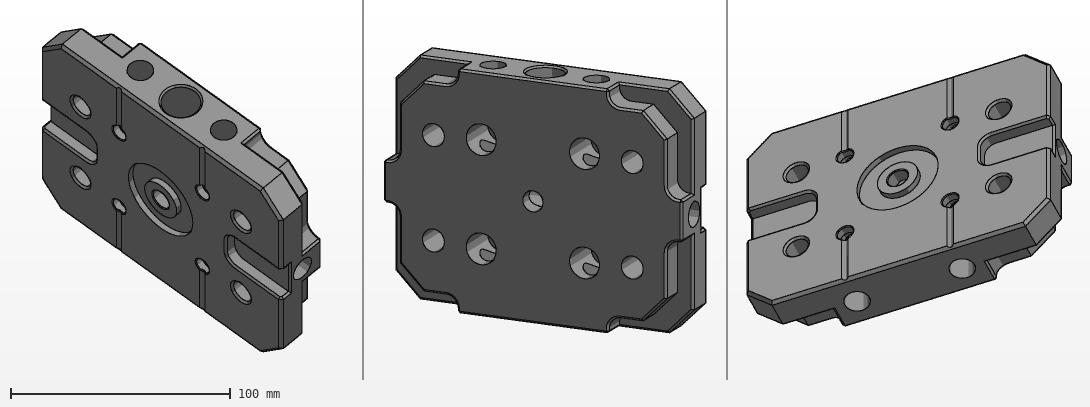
import cadquery as cq
import math

length = 150.0
thickness = 27.0
height = 116.0
corner_cut = 12.5
front_chamfer = 1.5
edge_chamfer = 1.0

half_length = length / 2
half_height = height / 2
front_y = -thickness / 2
back_y = thickness / 2
clearance = 7.5
tolerance = 0.02

pocket_depth = 12.0
vertical_lug_half_width = 38.0
side_lug_half_width = 10.0
core_half_length = 67.0
core_half_height = 50.0
core_corner_cut = 12.0
pocket_radius = 6.0

slot_depth = 6.0
slot_length = 34.5
slot_half_width = 9.9
slot_radius = 6.0

recess_diameter = 40.0
recess_boss_diameter = 20.0
recess_depth = 3.0
centre_hole_diameter = 10.0
small_chamfer = 0.5

mount_hole_diameter = 11.0
mount_hole_x = 50.0
mount_hole_z = 25.0
pin_hole_diameter = 8.0
pin_spacing_half = 26.0
pin_hole_land = 4.0
pin_relief_diameter = 15.0

groove_diameter = 4.2
groove_depth = 0.8

cross_hole_diameter = 12.0
cross_hole_y = 0.8

bore_mouth_diameter = 20.0
bore_diameter = 18.2
bore_depth = 45.0
bore_step_diameter = 16.0
bore_pilot_diameter = 14.0


def cylinder(diameter, reach, start, direction):
    """Solid cylinder from a start point along a direction."""
    solid = cq.Solid.makeCylinder(diameter / 2, reach, cq.Vector(*start), cq.Vector(*direction))
    return cq.Workplane(solid)


def y_cylinder(x, z, diameter, y_start, y_end):
    """Cylinder along Y between two Y positions."""
    return cylinder(diameter, y_end - y_start, (x, y_start, z), (0, 1, 0))


def mirrored_four(x, z):
    """The four places that mirror (x, z) about both centre lines."""
    return [(sx * x, sz * z) for sx in (-1, 1) for sz in (-1, 1)]


def on_outline(point):
    """True when a point lies on the side walls of the plate."""
    x = abs(point.x)
    z = abs(point.z)
    corner_gap = (half_length + half_height - corner_cut - x - z) / math.sqrt(2)
    return min(half_length - x, half_height - z, corner_gap) < tolerance


def make_plate():
    blank = cq.Workplane("XY").box(length, thickness, height)
    return blank.edges("|Y").chamfer(corner_cut).faces("<Y").edges().chamfer(front_chamfer)


def make_corner_pocket():
    """Cutter for the pocket in the +X +Z corner."""
    arc_offset = pocket_radius * (1 - math.sqrt(0.5))
    lug_x = vertical_lug_half_width
    lug_z = side_lug_half_width
    outer_x = half_length + clearance
    outer_z = half_height + clearance
    return (
        cq.Workplane("XZ", origin=(0, back_y, 0))
        .moveTo(lug_x, outer_z)
        .lineTo(lug_x, core_half_height + pocket_radius)
        .threePointArc((lug_x + arc_offset, core_half_height + arc_offset),
                       (lug_x + pocket_radius, core_half_height))
        .lineTo(core_half_length - core_corner_cut, core_half_height)
        .lineTo(core_half_length, core_half_height - core_corner_cut)
        .lineTo(core_half_length, lug_z + pocket_radius)
        .threePointArc((core_half_length + arc_offset, lug_z + arc_offset),
                       (core_half_length + pocket_radius, lug_z))
        .lineTo(outer_x, lug_z)
        .lineTo(outer_x, outer_z)
        .close()
        .extrude(pocket_depth)
    )


def cut_corner_pockets(body):
    pocket = make_corner_pocket()
    right_pair = pocket.union(pocket.mirror("XY"))
    body = body.cut(right_pair).cut(right_pair.mirror("YZ"))
    rims = [
        edge for edge in body.edges().vals()
        if edge.Center().y > back_y - tolerance or (edge.Center().y > 0 and on_outline(edge.Center()))
    ]
    return body.newObject(rims).chamfer(edge_chamfer)


def cut_end_slots(body):
    inner_x = half_length - slot_length
    slot = (
        cq.Workplane("XY")
        .box(
            slot_length + clearance,
            slot_depth + clearance,
            2 * slot_half_width,
            centered=(False, False, True),
        )
        .translate((inner_x, front_y - clearance, 0))
        .edges("|Y and <X").fillet(slot_radius)
    )
    body = body.cut(slot).cut(slot.mirror("YZ"))
    floor_y = front_y + slot_depth

    def is_slot_rim(edge):
        centre = edge.Center()
        in_slot = abs(centre.z) < slot_half_width + tolerance and abs(centre.x) > inner_x - tolerance
        at_mouth = abs(centre.x) > half_length - front_chamfer and centre.y < floor_y + tolerance
        return in_slot and (centre.y < front_y + tolerance or at_mouth)

    return body.newObject([edge for edge in body.edges().vals() if is_slot_rim(edge)]).chamfer(edge_chamfer)


def cut_centre_recess(body):
    ring = y_cylinder(0, 0, recess_diameter, front_y, front_y + recess_depth)
    boss = y_cylinder(0, 0, recess_boss_diameter, front_y, front_y + recess_depth)
    return body.cut(ring.cut(boss))


def cut_front_hole(body, x, z, diameter, chamfer):
    """Through hole along Y with a bevelled rim on the front face."""
    rim = cq.Solid.makeCone(
        diameter / 2 + chamfer, diameter / 2, chamfer, cq.Vector(x, front_y, z), cq.Vector(0, 1, 0)
    )
    return body.cut(y_cylinder(x, z, diameter, front_y, back_y)).cut(cq.Workplane(rim))


def cut_pin_hole(body, x, z):
    """Through hole that is wide from the back, with a groove and a bevel that follows the front rim."""
    body = body.cut(y_cylinder(x, z, pin_hole_diameter, front_y, back_y))
    body = body.cut(y_cylinder(x, z, pin_relief_diameter, front_y + pin_hole_land, back_y))
    body = cut_groove(body, x, z)

    def is_rim(edge):
        points = [edge.positionAt(t) for t in (0, 0.3, 0.7, 1)]
        on_wall = all(abs(math.hypot(p.x - x, p.z - z) - pin_hole_diameter / 2) < tolerance for p in points)
        return on_wall and edge.Center().y < front_y + groove_depth and edge.geomType() != "LINE"

    return body.newObject([edge for edge in body.edges().vals() if is_rim(edge)]).chamfer(small_chamfer)


def cut_groove(body, x, z):
    """Groove from a pin hole to the nearer of the top and bottom edges."""
    axis_y = front_y + groove_depth - groove_diameter / 2
    return body.cut(cylinder(groove_diameter, half_height, (x, axis_y, z), (0, 0, math.copysign(1, z))))


def cut_cross_holes(body):
    body = body.cut(cylinder(cross_hole_diameter, length, (-half_length, cross_hole_y, 0), (1, 0, 0)))
    for x in (-pin_spacing_half, pin_spacing_half):
        body = body.cut(cylinder(cross_hole_diameter, height, (x, cross_hole_y, -half_height), (0, 0, 1)))
    return body


def cut_screw_bore(body):
    """Blind stepped bore with bevelled mouth and step, ending at mid height."""
    mouth_bevel = (bore_mouth_diameter - bore_diameter) / 2
    step_bevel = (bore_step_diameter - bore_pilot_diameter) / 2
    step_z = half_height - bore_depth
    bore = (
        cq.Workplane("XZ")
        .moveTo(0, half_height)
        .lineTo(bore_mouth_diameter / 2, half_height)
        .lineTo(bore_diameter / 2, half_height - mouth_bevel)
        .lineTo(bore_diameter / 2, step_z)
        .lineTo(bore_step_diameter / 2, step_z)
        .lineTo(bore_pilot_diameter / 2, step_z - step_bevel)
        .lineTo(bore_pilot_diameter / 2, 0)
        .lineTo(0, 0)
        .close()
        .revolve(360, (0, 0, 0), (0, 1, 0))
    )
    return body.cut(bore)


result = make_plate()
result = cut_corner_pockets(result)
result = cut_end_slots(result)
result = cut_centre_recess(result)
result = cut_front_hole(result, 0, 0, centre_hole_diameter, small_chamfer)

for hole_x, hole_z in mirrored_four(mount_hole_x, mount_hole_z):
    result = cut_front_hole(result, hole_x, hole_z, mount_hole_diameter, edge_chamfer)

for hole_x, hole_z in mirrored_four(pin_spacing_half, pin_spacing_half):
    result = cut_pin_hole(result, hole_x, hole_z)

result = cut_cross_holes(result)
result = cut_screw_bore(result)